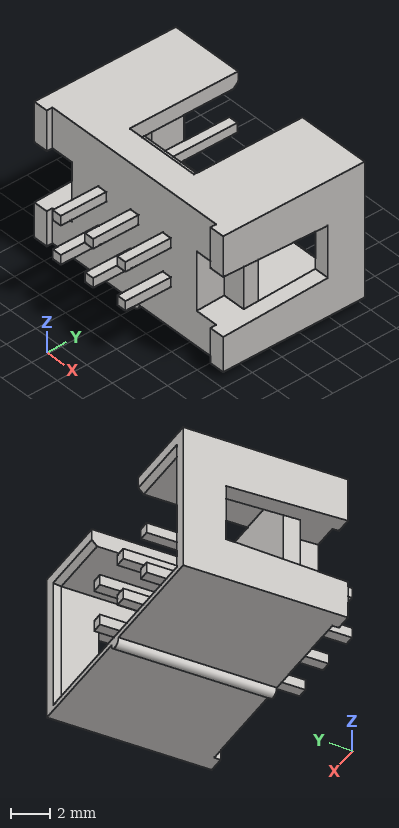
import cadquery as cq


length = 14.83
top_z = 4.58
bottom_z = -4.23
height = top_z - bottom_z
base_depth = 9.18
foot_height = 0.39
foot_width = 1.0
total_depth = base_depth + foot_height
wall = 1.0
bottom_wall = 0.65

cavity_depth = 6.33
lead_in = 0.31

notch_width = 5.04
notch_depth = 7.33
rib_radius = 0.39

slot_start = 2.49
slot_start_half_height = 1.69
slot_end_half_height = 1.95
slot_step = notch_depth
slot_deep = 2.52

pitch = 2.54
pin_columns = 3
pin_rows = 2
pin_size = 0.64
pin_tip = lead_in
pin_end = 12.23
pin_length = pin_end - pin_tip


def block(x_min, x_max, depth_min, depth_max, z_min, z_max):
    """Box between two X planes, two depths behind the mating face and two Z planes."""
    return cq.Workplane("XY").box(
        x_max - x_min, depth_max - depth_min, z_max - z_min, centered=False
    ).translate((x_min, -depth_max, z_min))


def make_outer_body():
    """Plain block with a foot along each end of the solder side."""
    body = block(-length / 2, length / 2, 0, total_depth, bottom_z, top_z)
    gap_half = length / 2 - foot_width
    return body.cut(block(-gap_half, gap_half, base_depth, total_depth, bottom_z, top_z))


def make_rib():
    """Round polarising rib along the bottom, half buried in the wall."""
    return (
        cq.Workplane("XZ")
        .center(0, bottom_z)
        .circle(rib_radius)
        .extrude(base_depth)
    )


def make_cavity():
    """Rectangular mating cavity with a flared mouth."""
    cavity_length = length - 2 * wall
    cavity_height = height - wall - bottom_wall
    middle_z = (top_z - wall + bottom_z + bottom_wall) / 2
    cavity = (
        cq.Workplane("XZ")
        .center(0, middle_z)
        .rect(cavity_length, cavity_height)
        .extrude(cavity_depth)
    )
    mouth = (
        cq.Workplane("XZ")
        .center(0, middle_z)
        .rect(cavity_length + 2 * lead_in, cavity_height + 2 * lead_in)
        .workplane(offset=lead_in)
        .rect(cavity_length, cavity_height)
        .loft(combine=True)
    )
    return cavity.union(mouth)


def make_notch():
    """Polarising notch through the top wall, running on into the base."""
    return block(-notch_width / 2, notch_width / 2, 0, notch_depth, top_z - wall, top_z)


def make_end_slot(side):
    """Slot that widens toward the solder side and steps deeper behind the notch depth."""
    wedge = (
        cq.Workplane("YZ")
        .polyline([
            (-slot_start, -slot_start_half_height),
            (-slot_start, slot_start_half_height),
            (-total_depth, slot_end_half_height),
            (-total_depth, -slot_end_half_height),
        ])
        .close()
        .extrude(side * slot_deep)
        .translate((side * (length / 2 - slot_deep), 0, 0))
    )
    inner_edges = sorted([side * (length / 2 - slot_deep), side * (length / 2 - wall)])
    kept_step = block(*inner_edges, slot_start, slot_step, bottom_z, top_z)
    return wedge.cut(kept_step)


def make_pins():
    """Square pins, each a separate solid, on a regular grid."""
    pins = []
    for column in range(pin_columns):
        for row in range(pin_rows):
            x = (column - (pin_columns - 1) / 2) * pitch
            z = (row - (pin_rows - 1) / 2) * pitch
            pin = cq.Workplane("XY").box(pin_size, pin_length, pin_size)
            pins.append(pin.translate((x, -(pin_tip + pin_end) / 2, z)))
    return pins


def make_housing(pins):
    """Shrouded housing with a matching hole for each pin."""
    body = make_outer_body().union(make_rib()).cut(make_cavity()).cut(make_notch())
    for side in (-1, 1):
        body = body.cut(make_end_slot(side))
    for pin in pins:
        body = body.cut(pin)
    return body


pins = make_pins()
housing = make_housing(pins).solids()

result = cq.Compound.makeCompound([*housing.vals(), *[pin.val() for pin in pins]])